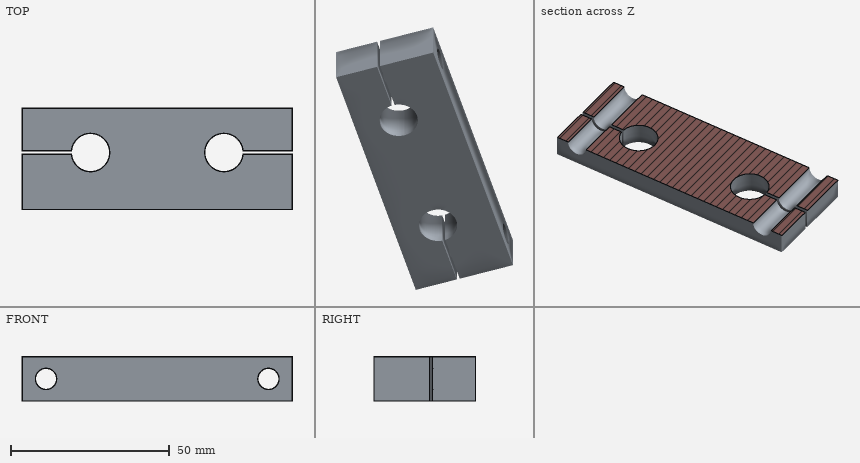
import cadquery as cq

length = 85.0
width = 32.0
height = 14.0

bore_diameter = 12.0
bore_spacing = 42.0
bore_from_front = 18.0

slit_width = 1.0

screw_hole_diameter = 6.6
screw_hole_spacing = 70.0

bore_y = bore_from_front - width / 2
slit_length = (length - bore_spacing) / 2


def make_block():
    return cq.Workplane("XY").box(length, width, height, centered=(True, True, False))


def make_bore(side):
    return (
        cq.Workplane("XY")
        .center(side * bore_spacing / 2, bore_y)
        .circle(bore_diameter / 2)
        .extrude(height)
    )


def make_slit(side):
    """Slot from the bore axis out to the end face."""
    return (
        cq.Workplane("XY")
        .center(side * (length - slit_length) / 2, bore_y)
        .rect(slit_length, slit_width)
        .extrude(height)
    )


def make_screw_hole(side):
    return (
        cq.Workplane("XZ", origin=(0, width / 2, 0))
        .center(side * screw_hole_spacing / 2, height / 2)
        .circle(screw_hole_diameter / 2)
        .extrude(width)
    )


result = make_block()
for side in (-1, 1):
    result = result.cut(make_bore(side))
    result = result.cut(make_slit(side))
    result = result.cut(make_screw_hole(side))